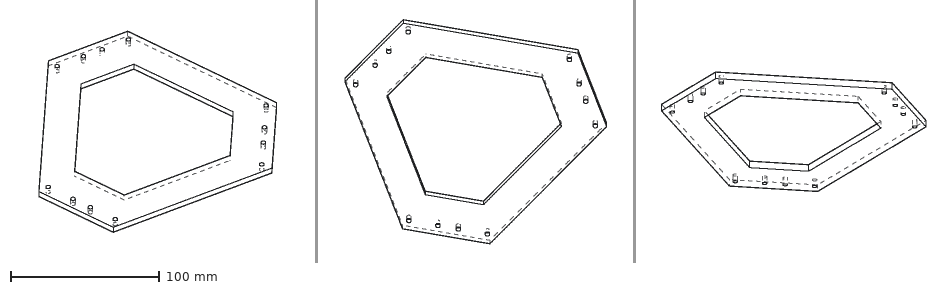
import cadquery as cq
import math

overall_width = 180.0
thickness = 5.0
long_side = overall_width * 2 / 3
window_scale = 2 / 3

hole_diameter = 3.0
hole_edge_inset = 7.0
inner_hole_offset = 7.0
outer_hole_offset = 27.0
corner_count = 3
corner_step = 360 / corner_count


def rotated(x, y, degrees):
    """Turn a point about the plate centre."""
    a = math.radians(degrees)
    return (x * math.cos(a) - y * math.sin(a), x * math.sin(a) + y * math.cos(a))


def short_side_distance(long_length):
    """Distance from the plate centre to each short side."""
    return long_length * 5 / 4 / math.sqrt(3)


def frame_outline(long_length):
    """Six corners, built from the short side facing -Y turned three times."""
    half_short = long_length / 4
    y = -short_side_distance(long_length)
    points = []
    for corner in range(corner_count):
        for x in (-half_short, half_short):
            points.append(rotated(x, y, corner * corner_step))
    return points


def hole_centers():
    """Four hole centres beside each short side."""
    y = hole_edge_inset - short_side_distance(long_side)
    offsets = (-outer_hole_offset, -inner_hole_offset, inner_hole_offset, outer_hole_offset)
    return [rotated(x, y, corner * corner_step) for corner in range(corner_count) for x in offsets]


plate = cq.Workplane("XY").polyline(frame_outline(long_side)).close().extrude(thickness)
window = cq.Workplane("XY").polyline(frame_outline(long_side * window_scale)).close().extrude(thickness)
holes = cq.Workplane("XY").pushPoints(hole_centers()).circle(hole_diameter / 2).extrude(thickness)

result = plate.cut(window).cut(holes)